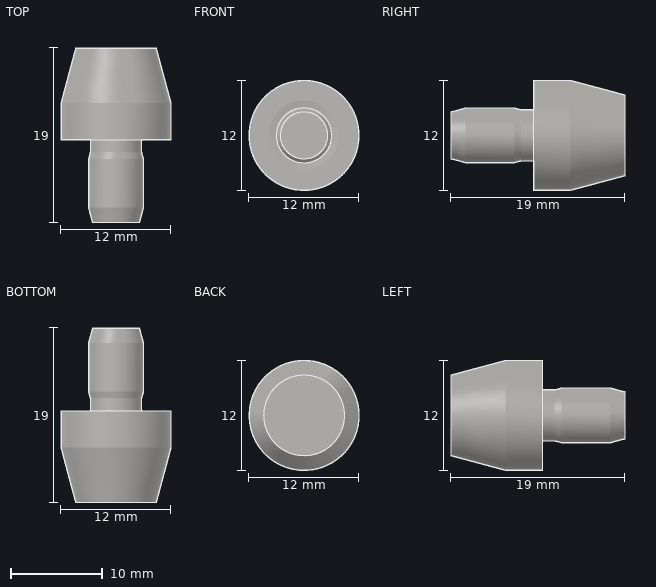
import cadquery as cq
import math

total_length = 19.0
head_diameter = 12.0
pin_diameter = 6.0
neck_diameter = 5.6
pin_length = 9.0
head_band_length = 4.0
neck_length = 1.35
neck_fillet = 0.2
tip_taper_length = 1.62
taper_angle = 15.0
relief_diameter = 7.6
relief_floor_diameter = 6.14
relief_angle = 8.0

taper_slope = math.tan(math.radians(taper_angle))
head_radius = head_diameter / 2
pin_radius = pin_diameter / 2
neck_radius = neck_diameter / 2
relief_radius = relief_diameter / 2
relief_floor_radius = relief_floor_diameter / 2
relief_depth = (relief_radius - relief_floor_radius) * math.tan(math.radians(relief_angle))
head_taper_length = total_length - pin_length - head_band_length
head_end_radius = head_radius - head_taper_length * taper_slope
tip_radius = pin_radius - tip_taper_length * taper_slope

head_end_y = total_length / 2
head_taper_y = head_end_y - head_taper_length
shoulder_y = head_taper_y - head_band_length
relief_floor_y = shoulder_y + relief_depth
neck_end_y = shoulder_y - neck_length
pin_start_y = neck_end_y - (pin_radius - neck_radius) / taper_slope
tip_y = -total_length / 2
tip_taper_y = tip_y + tip_taper_length

fillet_outer_radius = neck_radius + neck_fillet
fillet_start_y = relief_floor_y - neck_fillet
fillet_mid_offset = neck_fillet * math.sqrt(0.5)
fillet_mid = (fillet_outer_radius - fillet_mid_offset, fillet_start_y + fillet_mid_offset)

half_outline = (
    cq.Workplane("XY")
    .moveTo(0, tip_y)
    .lineTo(tip_radius, tip_y)
    .lineTo(pin_radius, tip_taper_y)
    .lineTo(pin_radius, pin_start_y)
    .lineTo(neck_radius, neck_end_y)
    .lineTo(neck_radius, fillet_start_y)
    .threePointArc(fillet_mid, (fillet_outer_radius, relief_floor_y))
    .lineTo(relief_floor_radius, relief_floor_y)
    .lineTo(relief_radius, shoulder_y)
    .lineTo(head_radius, shoulder_y)
    .lineTo(head_radius, head_taper_y)
    .lineTo(head_end_radius, head_end_y)
    .lineTo(0, head_end_y)
    .close()
)
result = half_outline.revolve(360, (0, 0, 0), (0, 1, 0))